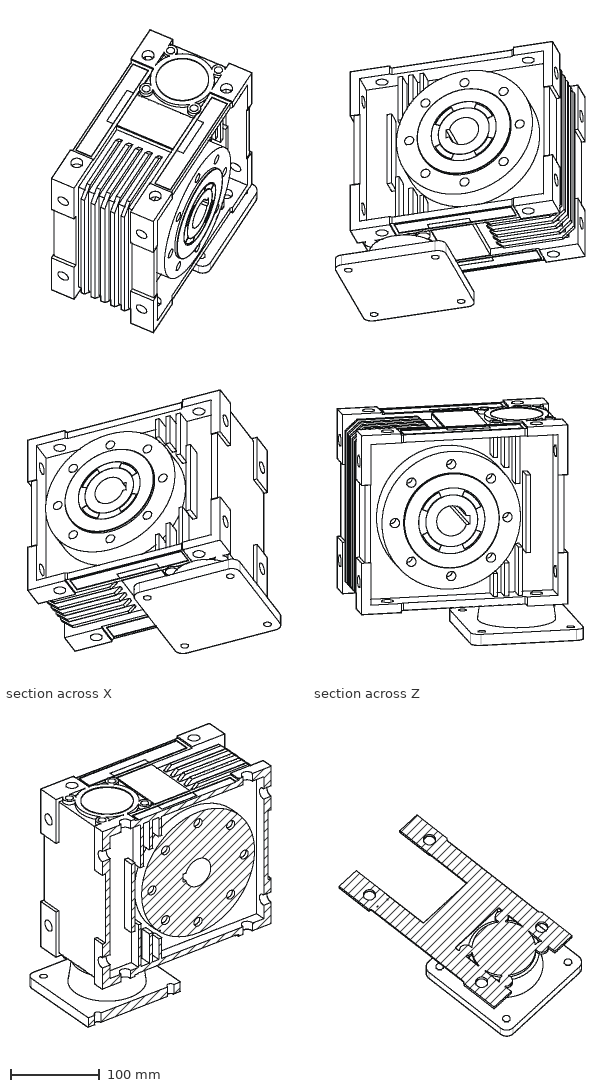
import cadquery as cq
import math

WORM_Y = 90.0
HOUSING_FRONT = -103.0
HOUSING_BACK = 135.0
HOUSING_TOP = 103.0
HOUSING_BOTTOM = -105.0
HALF_WIDTH = 65.0
MID_Z = (HOUSING_TOP + HOUSING_BOTTOM) / 2
HALF_HEIGHT = (HOUSING_TOP - HOUSING_BOTTOM) / 2

CORE_HALF_WIDTH = 36.0
WALL = 10.7
BACK_WALL = 11.2
CORE_BACK = 131.0
CORE_FRONT = HOUSING_FRONT + WALL
CORE_HALF_HEIGHT = HALF_HEIGHT - WALL
POCKET_FLOOR = 38.0

UPRIGHT_HALF_LENGTH = 45.2
UPRIGHT_RELIEF = 4.0
UPRIGHT_SIDE_RELIEF = 1.2
RAIL_FRONT = -57.0
RAIL_BACK = 88.6
RAIL_RELIEF = 2.0
RAIL_SIDE_RELIEF = 2.0
RAIL_RAMP = 2.5
PANEL_INNER = 40.5
PANEL_OUTER = 60.2
PANEL_FRONT = -53.0
PANEL_BACK = 84.6
PANEL_DEPTH = 0.8

MOUNT_HOLE_D = 13.3
MOUNT_X = 50.0
MOUNT_Z = 70.0
MOUNT_Y = (-70.0, 102.0)

FINS = ((-25.5, 4.3), (-12.6, 5.2), (0.0, 5.2), (12.6, 5.2), (25.5, 4.3))
FIN_FRONT = -102.0
FIN_HALF_HEIGHT = HALF_HEIGHT - 4.0
FIN_BACK = -10.6
FIN_BACK_SLOPE = 8.0
FIN_CHAMFER_Y = 14.0
FIN_CHAMFER_Z = 12.5
DECK_HALF_HEIGHT = HALF_HEIGHT - 4.5
DECK_LIP = 0.2
PAD_RISE = 0.1
PAD_HALF_WIDTH = 48.8
PAD_LENGTH = 49.0
PAD_HALF_HEIGHT = HALF_HEIGHT - RAIL_RELIEF - PANEL_DEPTH + PAD_RISE

COVER_D = 72.4
COVER_PANEL_D = 59.4
COVER_PANEL_DEPTH = 1.0
LUG_COUNT = 4
LUG_D = 15.2
LUG_HOLE_D = 9.0
LUG_HOLE_DEPTH = 12.0
LUG_PITCH_RADIUS = 42.8
LUG_FIRST_ANGLE = 45.8

FLANGE_SIZE = 130.0
FLANGE_BOTTOM = -148.0
FLANGE_THICKNESS = 13.0
FLANGE_CORNER_R = 10.0
FLANGE_HOLE_D = 8.5
FLANGE_HOLE_SPACING = 102.4
NECK_TOP_D = 80.4
NECK_BASE_D = 88.4

HUB_D = 160.0
HUB_FACE = 67.0
SPIGOT_D = 110.0
SPIGOT_FACE = 70.0
SPIGOT_CHAMFER = 0.5
HUB_HOLE_D = 10.6
HUB_HOLE_DEPTH = 20.0
HUB_HOLE_CIRCLE_D = 130.0
HUB_HOLE_COUNT = 8
SEAL_D = 76.4
SEAL_DEPTH = 0.3
SEAL_SLOT_COUNT = 4
SEAL_SLOT_INNER_R = 30.4
SEAL_SLOT_OUTER_R = 36.7
SEAL_SLOT_DEPTH = 0.8
SEAL_SLOT_HALF_ANGLE = 21.5
SHAFT_D = 60.0
BORE_D = 35.0
KEY_WIDTH = 10.0
KEY_REACH = 20.8

RIB_FACE = 56.0
POCKET_TOP = MID_Z + CORE_HALF_HEIGHT
POCKET_BOTTOM = MID_Z - CORE_HALF_HEIGHT
RIBS = (
    (91.5, 5.3, -UPRIGHT_HALF_LENGTH, UPRIGHT_HALF_LENGTH),
    (79.0, 5.3, 35.6, POCKET_TOP),
    (66.4, 5.3, 54.9, POCKET_TOP),
    (53.4, 4.4, 67.3, POCKET_TOP),
    (82.2, 4.4, POCKET_BOTTOM, -38.2),
    (66.4, 5.3, POCKET_BOTTOM, -55.7),
    (53.4, 4.4, POCKET_BOTTOM, -67.2),
)


def block(x0, x1, y0, y1, z0, z1):
    """Box given by its limits along each axis."""
    return cq.Workplane("XY").box(x1 - x0, y1 - y0, z1 - z0, centered=False).translate((x0, y0, z0))


def x_cylinder(diameter, x0, x1):
    """Cylinder about the output axis."""
    return cq.Workplane("YZ", origin=(x0, 0, 0)).circle(diameter / 2).extrude(x1 - x0)


def mirrored_x(shape):
    return shape.union(shape.mirror("YZ"))


def mirrored_z(shape):
    """Shape joined with its reflection in the housing's middle height."""
    return shape.union(shape.mirror("XY", (0, 0, MID_Z)))


def make_core():
    return block(-CORE_HALF_WIDTH, CORE_HALF_WIDTH, CORE_FRONT, CORE_BACK, POCKET_BOTTOM, POCKET_TOP)


def rail_relief():
    """Material removed from the top rail of the +X frame between its corner blocks."""
    rail_top = HOUSING_TOP - RAIL_RELIEF
    top_cut = block(CORE_HALF_WIDTH, HALF_WIDTH, RAIL_FRONT, RAIL_BACK, rail_top, HOUSING_TOP)
    inner_x = HALF_WIDTH - RAIL_SIDE_RELIEF
    side_cut = (
        cq.Workplane("XY", origin=(0, 0, POCKET_TOP))
        .polyline([
            (HALF_WIDTH, RAIL_FRONT),
            (HALF_WIDTH, RAIL_BACK),
            (inner_x, RAIL_BACK - RAIL_RAMP),
            (inner_x, RAIL_FRONT + RAIL_RAMP),
        ])
        .close()
        .extrude(WALL)
    )
    panel_cut = block(PANEL_INNER, PANEL_OUTER, PANEL_FRONT, PANEL_BACK, rail_top - PANEL_DEPTH, rail_top)
    return top_cut.union(side_cut).union(panel_cut)


def upright_relief(outer_y, inner_y):
    """Material removed from one upright of the +X frame; its outer and pocket faces are given."""
    step = math.copysign(UPRIGHT_RELIEF, inner_y - outer_y)
    z0, z1 = -UPRIGHT_HALF_LENGTH, UPRIGHT_HALF_LENGTH
    face_y = sorted((outer_y, outer_y + step))
    wall_y = sorted((outer_y, inner_y))
    face_cut = block(CORE_HALF_WIDTH, HALF_WIDTH, *face_y, z0, z1)
    side_cut = block(HALF_WIDTH - UPRIGHT_SIDE_RELIEF, HALF_WIDTH, *wall_y, z0, z1)
    return face_cut.union(side_cut)


def make_frames():
    """Pocketed side frames with relieved rails, relieved uprights and mounting holes."""
    pocket_front = CORE_FRONT
    pocket_back = HOUSING_BACK - BACK_WALL
    frame = block(CORE_HALF_WIDTH, HALF_WIDTH, HOUSING_FRONT, HOUSING_BACK, HOUSING_BOTTOM, HOUSING_TOP)
    frame = frame.cut(
        block(POCKET_FLOOR, HALF_WIDTH, pocket_front, pocket_back, POCKET_BOTTOM, POCKET_TOP)
    )
    frame = frame.cut(mirrored_z(rail_relief()))
    frame = frame.cut(upright_relief(HOUSING_FRONT, pocket_front))
    frame = frame.cut(upright_relief(HOUSING_BACK, pocket_back))
    vertical_holes = (
        cq.Workplane("XY", origin=(0, 0, HOUSING_BOTTOM))
        .pushPoints([(MOUNT_X, y) for y in MOUNT_Y])
        .circle(MOUNT_HOLE_D / 2)
        .extrude(HOUSING_TOP - HOUSING_BOTTOM)
    )
    level_holes = (
        cq.Workplane("XZ", origin=(0, HOUSING_BACK, 0))
        .pushPoints([(MOUNT_X, -MOUNT_Z), (MOUNT_X, MOUNT_Z)])
        .circle(MOUNT_HOLE_D / 2)
        .extrude(HOUSING_BACK - HOUSING_FRONT)
    )
    return mirrored_x(frame.cut(vertical_holes).cut(level_holes))


def make_fins():
    """Fins wrapping the top, front and bottom of the core, chamfered at the corners."""
    z_top = MID_Z + FIN_HALF_HEIGHT
    outline = [
        (FIN_BACK, MID_Z),
        (FIN_BACK, POCKET_TOP),
        (FIN_BACK - FIN_BACK_SLOPE, z_top),
        (FIN_FRONT + FIN_CHAMFER_Y, z_top),
        (FIN_FRONT, z_top - FIN_CHAMFER_Z),
        (FIN_FRONT, MID_Z),
    ]
    fins = cq.Workplane("XY")
    for x, thickness in FINS:
        upper_half = (
            cq.Workplane("YZ", origin=(x - thickness / 2, 0, 0)).polyline(outline).close().extrude(thickness)
        )
        fins = fins.union(mirrored_z(upper_half))
    return fins


def make_pads():
    """Flat name plate pads on the top and bottom of the core."""
    pad_top = MID_Z + PAD_HALF_HEIGHT
    return mirrored_z(block(-PAD_HALF_WIDTH, PAD_HALF_WIDTH, 0, PAD_LENGTH, POCKET_TOP, pad_top))


def make_decks():
    """Raised decks behind the fins, carrying the pads and the worm covers."""
    deck_top = MID_Z + DECK_HALF_HEIGHT
    half = CORE_HALF_WIDTH
    lip = block(-half, half, -DECK_LIP, 0, POCKET_TOP, deck_top)
    return mirrored_z(block(-half, half, 0, CORE_BACK, POCKET_TOP, deck_top)).union(lip)


def make_cover():
    """Round worm bearing cover with four screw lugs, on the top of the core."""
    height = HOUSING_TOP - POCKET_TOP
    lugs = (
        cq.Workplane("XY", origin=(0, WORM_Y, POCKET_TOP))
        .polarArray(LUG_PITCH_RADIUS, LUG_FIRST_ANGLE, 360, LUG_COUNT)
        .circle(LUG_D / 2)
        .extrude(height)
    )
    disc = cq.Workplane("XY", origin=(0, WORM_Y, POCKET_TOP)).circle(COVER_D / 2).extrude(height)
    panel = (
        cq.Workplane("XY", origin=(0, WORM_Y, HOUSING_TOP))
        .circle(COVER_PANEL_D / 2)
        .extrude(-COVER_PANEL_DEPTH)
    )
    return disc.union(lugs).cut(panel)


def lug_holes():
    """Blind screw holes in the lugs of the top cover."""
    return (
        cq.Workplane("XY", origin=(0, WORM_Y, HOUSING_TOP))
        .polarArray(LUG_PITCH_RADIUS, LUG_FIRST_ANGLE, 360, LUG_COUNT)
        .circle(LUG_HOLE_D / 2)
        .extrude(-LUG_HOLE_DEPTH)
    )


def make_motor_flange():
    """Square flange on a tapered neck below the worm."""
    flange_top = FLANGE_BOTTOM + FLANGE_THICKNESS
    plate = (
        cq.Workplane("XY", origin=(0, WORM_Y, FLANGE_BOTTOM))
        .rect(FLANGE_SIZE, FLANGE_SIZE)
        .extrude(FLANGE_THICKNESS)
        .edges("|Z")
        .fillet(FLANGE_CORNER_R)
    )
    holes = (
        cq.Workplane("XY", origin=(0, WORM_Y, FLANGE_BOTTOM))
        .rect(FLANGE_HOLE_SPACING, FLANGE_HOLE_SPACING, forConstruction=True)
        .vertices()
        .circle(FLANGE_HOLE_D / 2)
        .extrude(FLANGE_THICKNESS)
    )
    neck = (
        cq.Workplane("XY", origin=(0, WORM_Y, flange_top))
        .circle(NECK_BASE_D / 2)
        .workplane(offset=HOUSING_BOTTOM - flange_top)
        .circle(NECK_TOP_D / 2)
        .loft()
    )
    return plate.cut(holes).union(neck)


def seal_slot(middle_angle):
    """Arc-shaped sunk segment of the +X seal face."""
    def at(radius, offset):
        angle = math.radians(middle_angle + offset)
        return (radius * math.cos(angle), radius * math.sin(angle))

    half = SEAL_SLOT_HALF_ANGLE
    return (
        cq.Workplane("YZ", origin=(SPIGOT_FACE, 0, 0))
        .moveTo(*at(SEAL_SLOT_INNER_R, -half))
        .lineTo(*at(SEAL_SLOT_OUTER_R, -half))
        .threePointArc(at(SEAL_SLOT_OUTER_R, 0), at(SEAL_SLOT_OUTER_R, half))
        .lineTo(*at(SEAL_SLOT_INNER_R, half))
        .threePointArc(at(SEAL_SLOT_INNER_R, 0), at(SEAL_SLOT_INNER_R, -half))
        .close()
        .extrude(-SEAL_SLOT_DEPTH)
    )


def make_hubs():
    """Round output hubs with spigots, bolt circles and seal faces."""
    hub = x_cylinder(HUB_D, CORE_HALF_WIDTH, HUB_FACE)
    spigot = x_cylinder(SPIGOT_D, HUB_FACE, SPIGOT_FACE).faces(">X").edges().chamfer(SPIGOT_CHAMFER)
    hub = hub.union(spigot)
    bolt_holes = (
        cq.Workplane("YZ", origin=(HUB_FACE, 0, 0))
        .polarArray(HUB_HOLE_CIRCLE_D / 2, 0, 360, HUB_HOLE_COUNT)
        .circle(HUB_HOLE_D / 2)
        .extrude(-HUB_HOLE_DEPTH)
    )
    hub = hub.cut(bolt_holes)
    seal_bottom = SPIGOT_FACE - SEAL_DEPTH
    seal_recess = x_cylinder(SEAL_D, seal_bottom, SPIGOT_FACE)
    shaft_end = x_cylinder(SHAFT_D, seal_bottom, SPIGOT_FACE)
    hub = hub.cut(seal_recess.cut(shaft_end))
    slot_pitch = 360 / SEAL_SLOT_COUNT
    for index in range(SEAL_SLOT_COUNT):
        hub = hub.cut(seal_slot((index + 0.5) * slot_pitch))
    return mirrored_x(hub)


def make_ribs():
    """Stiffening ribs standing on the side pocket floors."""
    ribs = cq.Workplane("XY")
    for y, thickness, z0, z1 in RIBS:
        y0 = y - thickness / 2
        ribs = ribs.union(block(CORE_HALF_WIDTH, RIB_FACE, y0, y0 + thickness, z0, z1))
    return mirrored_x(ribs)


def keyed_bore():
    """Through bore of the output shaft with its keyway on the +Y side."""
    bore = x_cylinder(BORE_D, -SPIGOT_FACE, SPIGOT_FACE)
    keyway = block(-SPIGOT_FACE, SPIGOT_FACE, 0, KEY_REACH, -KEY_WIDTH / 2, KEY_WIDTH / 2)
    return bore.union(keyway)


housing = make_core().union(make_frames())
housing = housing.union(make_fins()).union(make_decks()).union(make_pads())
housing = housing.union(mirrored_z(make_cover())).cut(lug_holes())
housing = housing.union(make_motor_flange()).union(make_ribs()).union(make_hubs())
result = housing.cut(keyed_bore())